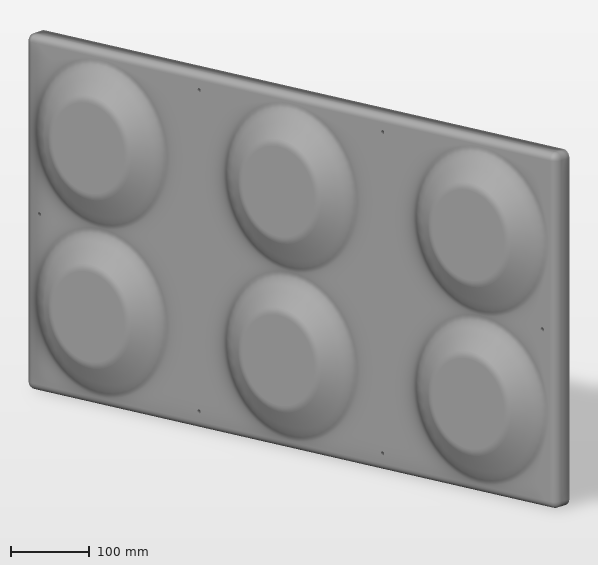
import cadquery as cq
import math

panel_width = 876.0
panel_height = 470.0
panel_thickness = 26.0
edge_radius = 10.0

total_depth = 51.0
dome_height = total_depth - panel_thickness
dome_outer_radius = 110.0
dome_slope = math.radians(29.5)
base_blend_radius = 10.5
crown_blend_radius = 17.5
column_pitch = 314.0
row_pitch = 223.0

hole_diameter = 5.0
edge_hole_x = 152.0
edge_hole_z = 212.0
side_hole_x = 415.0

dome_centres = [
    (column * column_pitch, row * row_pitch / 2)
    for column in (-1, 0, 1)
    for row in (-1, 1)
]
hole_centres = [(x, z) for x in (-edge_hole_x, edge_hole_x) for z in (-edge_hole_z, edge_hole_z)]
hole_centres += [(-side_hole_x, 0), (side_hole_x, 0)]


def make_panel():
    """Flat panel with rounded corners and a rounded front rim."""
    panel = cq.Workplane("XZ").rect(panel_width, panel_height).extrude(panel_thickness)
    return panel.edges("|Y").fillet(edge_radius).faces("<Y").edges().fillet(edge_radius)


def blend_point(radius, angle):
    """Radial run and height change of a blend arc from its flat end to the given angle."""
    return radius * math.sin(angle), radius * (1 - math.cos(angle))


def make_dome():
    """One dome revolved about the Z axis, its cone running into tangent arcs at base and crown."""
    base_run, base_rise = blend_point(base_blend_radius, dome_slope)
    base_mid_run, base_mid_rise = blend_point(base_blend_radius, dome_slope / 2)
    crown_run, crown_drop = blend_point(crown_blend_radius, dome_slope)
    crown_mid_run, crown_mid_drop = blend_point(crown_blend_radius, dome_slope / 2)

    cone_rise = dome_height - base_rise - crown_drop
    cone_outer_radius = dome_outer_radius - base_run
    cone_inner_radius = cone_outer_radius - cone_rise / math.tan(dome_slope)
    crown_radius = cone_inner_radius - crown_run

    base_mid = (dome_outer_radius - base_mid_run, base_mid_rise)
    crown_mid = (crown_radius + crown_mid_run, dome_height - crown_mid_drop)
    root = -panel_thickness / 2
    profile = (
        cq.Workplane("XZ")
        .moveTo(0, root)
        .lineTo(dome_outer_radius, root)
        .lineTo(dome_outer_radius, 0)
        .threePointArc(base_mid, (cone_outer_radius, base_rise))
        .lineTo(cone_inner_radius, dome_height - crown_drop)
        .threePointArc(crown_mid, (crown_radius, dome_height))
        .lineTo(0, dome_height)
        .close()
    )
    return profile.revolve(360, (0, 0, 0), (0, 1, 0))


dome = make_dome().rotate((0, 0, 0), (1, 0, 0), 90).translate((0, -panel_thickness, 0))

result = make_panel()
for x, z in dome_centres:
    result = result.union(dome.translate((x, 0, z)))

holes = cq.Workplane("XZ").pushPoints(hole_centres).circle(hole_diameter / 2).extrude(panel_thickness)
result = result.cut(holes)